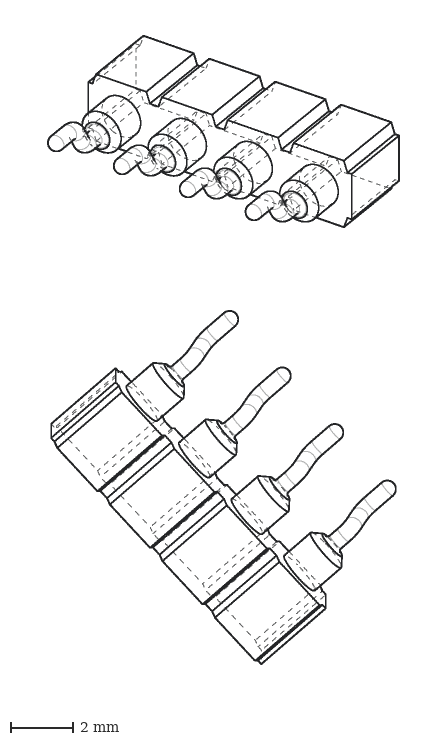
import cadquery as cq
import math

contact_count = 4
pitch = 2.54
row_length = contact_count * pitch
overall_depth = 6.88

housing_height = 2.54
housing_depth = 2.79
waist_height = 1.73
pad_root_width = 2.21
pad_top_width = 1.94

barrel_diameter = 1.5
barrel_length = 1.15
barrel_chamfer = 0.26
neck_fillet = 0.15
pin_diameter = 0.56
neck_straight = 0.34
bend_radius = 0.51
bend_angle = math.radians(60)

barrel_radius = barrel_diameter / 2
pin_radius = pin_diameter / 2

pin_rise = housing_height / 2 - pin_radius
bend_run = bend_radius * math.sin(bend_angle)
bend_rise = bend_radius * (1 - math.cos(bend_angle))
slope_rise = pin_rise - 2 * bend_rise
slope_run = slope_rise / math.tan(bend_angle)

chamfer_end = barrel_length + barrel_chamfer
neck_start = chamfer_end + neck_fillet
first_bend_start = neck_start + neck_straight
first_bend_end = first_bend_start + bend_run
second_bend_start = first_bend_end + slope_run
second_bend_end = second_bend_start + bend_run
pin_tip = overall_depth - housing_depth
tip_center = pin_tip - pin_radius


def contact_x(index):
    """X position of a contact, with the row centred on X = 0."""
    return (index - (contact_count - 1) / 2) * pitch


def make_housing():
    """Waist bar joined to one full-height tapered pad pair per contact."""
    housing = cq.Workplane("XY").box(
        row_length, housing_depth, waist_height, centered=(True, False, True)
    )
    half_root = pad_root_width / 2
    half_top = pad_top_width / 2
    half_waist = waist_height / 2
    half_height = housing_height / 2
    pad_pair_outline = [
        (-half_root, -half_waist),
        (-half_top, -half_height),
        (half_top, -half_height),
        (half_root, -half_waist),
        (half_root, half_waist),
        (half_top, half_height),
        (-half_top, half_height),
        (-half_root, half_waist),
    ]
    pad_pair = cq.Workplane("XZ").polyline(pad_pair_outline).close().extrude(-housing_depth)
    for index in range(contact_count):
        housing = housing.union(pad_pair.translate((contact_x(index), 0, 0)))
    return housing.solids()


def make_turned_base():
    """Chamfered barrel and concave neck, revolved about the Y axis."""
    chamfer_end_radius = barrel_radius - barrel_chamfer
    flare_radius = pin_radius + neck_fillet
    arc_offset = neck_fillet * (1 - math.sqrt(0.5))
    flare_middle = (pin_radius + arc_offset, -(chamfer_end + arc_offset))
    return (
        cq.Workplane("XY")
        .lineTo(barrel_radius, 0)
        .lineTo(barrel_radius, -barrel_length)
        .lineTo(chamfer_end_radius, -chamfer_end)
        .lineTo(flare_radius, -chamfer_end)
        .threePointArc(flare_middle, (pin_radius, -neck_start))
        .lineTo(0, -neck_start)
        .close()
        .revolve(360, (0, 0, 0), (0, 1, 0))
    )


def make_bent_pin():
    """Round S-bent pin with a hemispherical tip."""
    half_bend_run = bend_radius * math.sin(bend_angle / 2)
    half_bend_rise = bend_radius * (1 - math.cos(bend_angle / 2))
    center_line = (
        cq.Workplane("YZ")
        .moveTo(-neck_start, 0)
        .lineTo(-first_bend_start, 0)
        .threePointArc(
            (-(first_bend_start + half_bend_run), half_bend_rise),
            (-first_bend_end, bend_rise),
        )
        .lineTo(-second_bend_start, pin_rise - bend_rise)
        .threePointArc(
            (-(second_bend_end - half_bend_run), pin_rise - half_bend_rise),
            (-second_bend_end, pin_rise),
        )
        .lineTo(-tip_center, pin_rise)
    )
    rod = cq.Workplane("XZ", origin=(0, -neck_start, 0)).circle(pin_radius).sweep(center_line)
    tip = (
        cq.Workplane("XY", origin=(0, -tip_center, pin_rise))
        .lineTo(pin_radius, 0)
        .radiusArc((0, -pin_radius), pin_radius)
        .close()
        .revolve(360, (0, 0, 0), (0, 1, 0))
    )
    return rod.union(tip)


def make_contact(index):
    """One complete contact, placed at its position in the row."""
    contact = make_turned_base().union(make_bent_pin())
    return contact.translate((contact_x(index), 0, 0)).solids()


housing = make_housing()
contacts = [make_contact(index) for index in range(contact_count)]

result = cq.Compound.makeCompound([housing.val(), *[contact.val() for contact in contacts]])